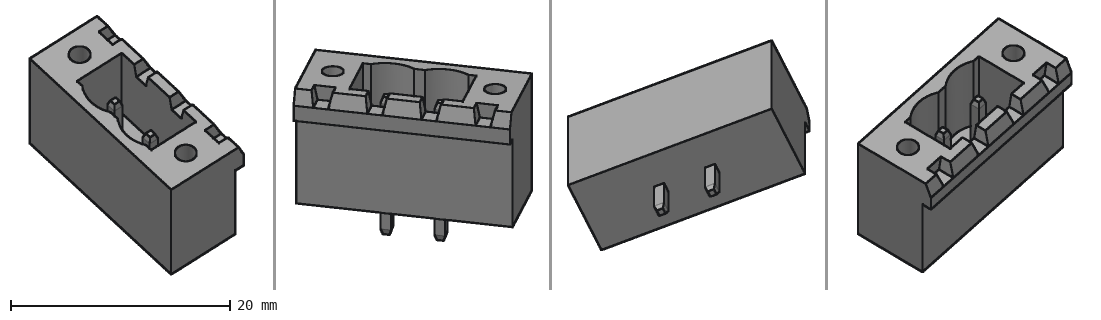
import cadquery as cq

width = 20.32
body_depth = 7.6
body_height = 11.99
pitch = 5.08
axis_y = 3.82

lip_overhang = 1.0
lip_height = 3.0
lip_chamfer_depth = 0.6
lip_chamfer_height = 1.46
rear_y = body_depth + lip_overhang

cavity_width = 10.65
cavity_front_y = 1.63
cavity_rear_y = 6.9
cavity_depth = 8.53
lobe_chord = 4.06
lobe_rise = 0.6

notch_top_width = 2.0
notch_floor_width = 1.38
notch_depth = lip_chamfer_height

hole_diameter = 2.0
hole_depth = 8.53

pin_size = 1.0
tip_size = 0.6
tip_length = 0.6
pin_drop = 4.0
pin_top_z = 10.08

contact_xs = [-pitch / 2, pitch / 2]
flange_xs = [-1.5 * pitch, 1.5 * pitch]


def make_housing():
    lip_bottom_z = body_height - lip_height
    profile = [
        (0, 0),
        (body_depth, 0),
        (body_depth, lip_bottom_z),
        (rear_y, lip_bottom_z),
        (rear_y, body_height - lip_chamfer_height),
        (rear_y - lip_chamfer_depth, body_height),
        (0, body_height),
    ]
    return cq.Workplane("YZ").polyline(profile).close().extrude(width / 2, both=True)


def make_cavity():
    half_width = cavity_width / 2
    outline = cq.Workplane("XY", origin=(0, 0, body_height)).moveTo(-half_width, cavity_front_y)
    for x in contact_xs:
        outline = outline.lineTo(x - lobe_chord / 2, cavity_front_y).threePointArc(
            (x, cavity_front_y - lobe_rise), (x + lobe_chord / 2, cavity_front_y)
        )
    outline = outline.lineTo(half_width, cavity_front_y)
    outline = outline.lineTo(half_width, cavity_rear_y).lineTo(-half_width, cavity_rear_y)
    return outline.close().extrude(-cavity_depth)


def make_notch(x):
    floor_z = body_height - notch_depth
    section = [
        (x - notch_top_width / 2, body_height),
        (x - notch_floor_width / 2, floor_z),
        (x + notch_floor_width / 2, floor_z),
        (x + notch_top_width / 2, body_height),
    ]
    plane = cq.Workplane("XZ", origin=(0, rear_y, 0))
    return plane.polyline(section).close().extrude(rear_y - cavity_rear_y)


def make_tip(x, base_z, end_z):
    base = cq.Workplane("XY", origin=(x, axis_y, base_z)).rect(pin_size, pin_size)
    return base.workplane(offset=end_z - base_z).rect(tip_size, tip_size).loft()


def make_contact(x):
    shank_bottom_z = tip_length - pin_drop
    shank_top_z = pin_top_z - tip_length
    shank = (
        cq.Workplane("XY", origin=(x, axis_y, shank_bottom_z))
        .rect(pin_size, pin_size)
        .extrude(shank_top_z - shank_bottom_z)
    )
    lower_tip = make_tip(x, shank_bottom_z, -pin_drop)
    upper_tip = make_tip(x, shank_top_z, pin_top_z)
    return shank.union(lower_tip).union(upper_tip)


result = make_housing().cut(make_cavity())

for x in contact_xs + flange_xs:
    result = result.cut(make_notch(x))

flange_holes = (
    cq.Workplane("XY", origin=(0, axis_y, body_height))
    .pushPoints([(x, 0) for x in flange_xs])
    .circle(hole_diameter / 2)
    .extrude(-hole_depth)
)
result = result.cut(flange_holes)

for x in contact_xs:
    result = result.union(make_contact(x))